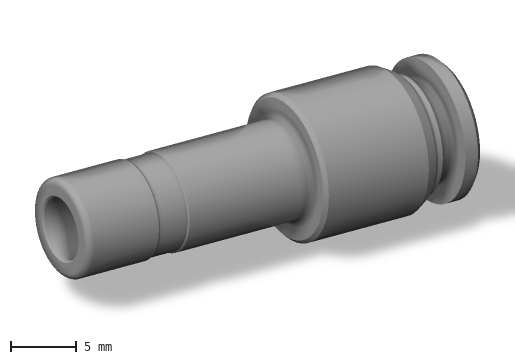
import cadquery as cq

total_length = 34.2

stub_radius = 4.0
tip_fillet = 0.5
groove_start = 6.33
groove_end = 9.05
groove_depth = 0.15
groove_taper = 0.2
groove_far_taper = 0.1
root_fillet = 0.5

body_radius = 5.9
body_start = 20.0
body_end = 30.23
body_chamfer = 0.3
shoulder_length = 1.0
shoulder_inset = 0.55

ring_radius = 4.82
ring_end = 31.15
neck_radius = 4.0
neck_fillet = 0.3

collar_radius = 5.75
collar_start = 32.6
collar_chamfer = 0.48

bore_radius = 2.5
mouth_chamfer = 0.15


def make_profile():
    """Half section of the solid part, as radius (X) against length (Y)."""
    groove_radius = stub_radius - groove_depth
    shoulder_radius = body_radius - shoulder_inset
    return (
        cq.Workplane("XY")
        .moveTo(0, 0)
        .lineTo(stub_radius - tip_fillet, 0)
        .radiusArc((stub_radius, tip_fillet), -tip_fillet)
        .lineTo(stub_radius, groove_start)
        .lineTo(groove_radius, groove_start + groove_taper)
        .lineTo(groove_radius, groove_end - groove_far_taper)
        .lineTo(stub_radius, groove_end)
        .lineTo(stub_radius, body_start - root_fillet)
        .radiusArc((stub_radius + root_fillet, body_start), root_fillet)
        .lineTo(body_radius - body_chamfer, body_start)
        .lineTo(body_radius, body_start + body_chamfer)
        .lineTo(body_radius, body_end - shoulder_length)
        .lineTo(shoulder_radius, body_end)
        .lineTo(ring_radius, body_end)
        .lineTo(ring_radius, ring_end)
        .lineTo(neck_radius, ring_end)
        .lineTo(neck_radius, collar_start - neck_fillet)
        .radiusArc((neck_radius + neck_fillet, collar_start), neck_fillet)
        .lineTo(collar_radius, collar_start)
        .lineTo(collar_radius, total_length - collar_chamfer)
        .lineTo(collar_radius - collar_chamfer, total_length)
        .lineTo(0, total_length)
        .close()
    )


def make_bore():
    """Through bore with a small chamfer at the stub mouth."""
    return (
        cq.Workplane("XY")
        .moveTo(0, 0)
        .lineTo(bore_radius + mouth_chamfer, 0)
        .lineTo(bore_radius, mouth_chamfer)
        .lineTo(bore_radius, total_length)
        .lineTo(0, total_length)
        .close()
        .revolve(360, (0, 0, 0), (0, 1, 0))
    )


outer = make_profile().revolve(360, (0, 0, 0), (0, 1, 0))
result = outer.cut(make_bore())